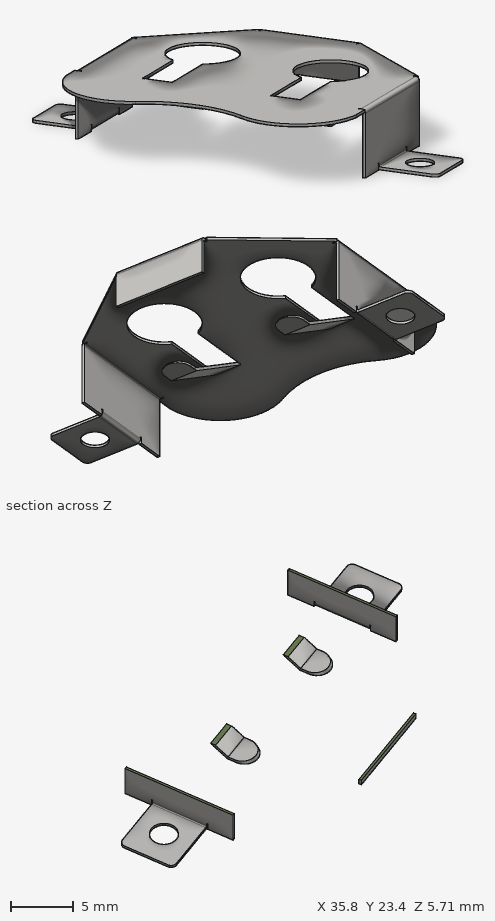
import cadquery as cq
import math


sheet = 0.25
inner_bend = 0.10
outer_bend = inner_bend + sheet
total_length = 35.8
total_width = 23.35
total_height = 5.71
plate_underside = total_height - sheet
overlap = 0.02

plate_half_width = 12.75
rear_y = 11.8
front_y = rear_y - total_width
lobe_radius = 5.45
lobe_x = 7.33
lobe_y = front_y + lobe_radius
valley_y = -9.65

wall_half_length = 5.0
lip_half_width = 4.25
lip_height = 3.35
slit = 0.10
slit_past_bend = 0.20
side_bend_x = plate_half_width - outer_bend
rear_bend_y = rear_y - outer_bend
chamfer_side_x = 12.62
chamfer_rear_x = 4.5

foot_half_width = 2.5
foot_y = 0.05
foot_corner_radius = 0.5
foot_hole_diameter = 2.3
foot_hole_from_end = 2.75
foot_relief_height = outer_bend + slit_past_bend

keyhole_x = 5.63
keyhole_y = 3.55
keyhole_radius = 3.0
slot_width = 2.6
slot_front_y = -4.8
tongue_width = 2.5
tongue_drop = 3.55
tongue_bend_y = 1.05
tongue_tip_y = 2.86
tip_end_slant = 0.20


def plate():
    """Flat plate with twin front lobes, rear chamfers and bend relief slits."""
    lobe_start_y = lobe_y - math.sqrt(lobe_radius**2 - (plate_half_width - lobe_x) ** 2)

    valley_depth = lobe_y - valley_y
    valley_radius = (lobe_x**2 + valley_depth**2 - lobe_radius**2) / (2 * (lobe_radius - valley_depth))
    valley_center_y = valley_y - valley_radius
    blend = lobe_radius / (lobe_radius + valley_radius)
    blend_x = lobe_x * (1 - blend)
    blend_y = lobe_y + (valley_center_y - lobe_y) * blend

    slit_x = side_bend_x - slit_past_bend
    slit_y = rear_bend_y - slit_past_bend
    slit_end = wall_half_length + slit
    lip_slit_x = lip_half_width + slit
    right_edge = [
        (plate_half_width, -slit_end),
        (slit_x, -slit_end),
        (slit_x, -wall_half_length),
        (side_bend_x, -wall_half_length),
        (side_bend_x, wall_half_length),
        (slit_x, wall_half_length),
        (slit_x, slit_end),
        (chamfer_side_x, slit_end),
        (chamfer_rear_x, rear_bend_y),
        (lip_slit_x, rear_bend_y),
        (lip_slit_x, slit_y),
        (lip_half_width, slit_y),
        (lip_half_width, rear_bend_y),
    ]
    left_edge = [(-x, y) for x, y in reversed(right_edge)]
    return (
        cq.Workplane("XY", origin=(0, 0, plate_underside))
        .moveTo(-blend_x, blend_y)
        .threePointArc((0, valley_y), (blend_x, blend_y))
        .threePointArc((lobe_x, front_y), (plate_half_width, lobe_start_y))
        .polyline(right_edge + left_edge, includeCurrent=True)
        .lineTo(-plate_half_width, lobe_start_y)
        .threePointArc((-lobe_x, front_y), (-blend_x, blend_y))
        .close()
        .extrude(sheet)
    )


def keyholes():
    """Cutters for the two round openings and the slots running forward from them."""
    centers = [(-keyhole_x, keyhole_y), (keyhole_x, keyhole_y)]
    slot_length = keyhole_y - slot_front_y
    slot_centers = [(x, y - slot_length / 2) for x, y in centers]
    base = cq.Workplane("XY", origin=(0, 0, plate_underside))
    rounds = base.pushPoints(centers).circle(keyhole_radius).extrude(sheet)
    slots = base.pushPoints(slot_centers).rect(slot_width, slot_length).extrude(sheet)
    return rounds.union(slots)


def flange(plane, outer, bottom, half_length):
    """Sheet turned down from the plate; its outer face stands at `outer` along the plane's local x."""
    start = outer - outer_bend
    return (
        cq.Workplane(plane)
        .moveTo(start - overlap, total_height)
        .lineTo(start, total_height)
        .radiusArc((outer, total_height - outer_bend), outer_bend)
        .lineTo(outer, bottom)
        .lineTo(outer - sheet, bottom)
        .lineTo(outer - sheet, total_height - outer_bend)
        .radiusArc((start, plate_underside), -inner_bend)
        .lineTo(start - overlap, plate_underside)
        .close()
        .extrude(half_length, both=True)
    )


def foot():
    """Right-hand solder foot with its bend, up to the top of the wall relief."""
    end_x = total_length / 2
    inner_x = plate_half_width - sheet
    bend_end_x = plate_half_width + inner_bend
    top_z = foot_relief_height + overlap
    body = (
        cq.Workplane("XZ", origin=(0, foot_y, 0))
        .moveTo(inner_x, top_z)
        .lineTo(plate_half_width, top_z)
        .lineTo(plate_half_width, outer_bend)
        .radiusArc((bend_end_x, sheet), -inner_bend)
        .lineTo(end_x, sheet)
        .lineTo(end_x, 0)
        .lineTo(bend_end_x, 0)
        .radiusArc((inner_x, outer_bend), outer_bend)
        .close()
        .extrude(foot_half_width, both=True)
        .faces(">X")
        .edges("|Z")
        .fillet(foot_corner_radius)
    )
    hole = (
        cq.Workplane("XY")
        .center(end_x - foot_hole_from_end, foot_y)
        .circle(foot_hole_diameter / 2)
        .extrude(sheet)
    )
    return body.cut(hole)


def side_wall():
    """Right-hand wall with a solder foot turned outward between two relief cuts."""
    wall = flange("XZ", plate_half_width, 0, wall_half_length)
    relief_depth = 4 * sheet
    relief_width = 2 * (foot_half_width + slit)
    relief = cq.Workplane("XY").box(
        relief_depth, relief_width, foot_relief_height, centered=(True, True, False)
    )
    return wall.cut(relief.translate((plate_half_width, foot_y, 0))).union(foot())


def tongue(center_x):
    """Contact tongue sloping down and rearward from the slot end to a level, rounded tip."""
    tip_top = total_height - tongue_drop
    tip_bottom = tip_top - sheet
    tip_reach = tongue_tip_y + tip_end_slant
    slope_angle = math.atan2(tongue_drop, tongue_bend_y - slot_front_y)
    half = tongue_width / 2
    fold_shift = sheet * math.tan(slope_angle / 2)
    strip = (
        cq.Workplane("YZ", origin=(center_x, 0, 0))
        .polyline(
            [
                (slot_front_y - 2 * fold_shift, total_height),
                (slot_front_y, total_height),
                (tongue_bend_y, tip_top),
                (tip_reach, tip_top),
                (tip_reach, tip_bottom),
                (tongue_bend_y - fold_shift, tip_bottom),
                (slot_front_y - fold_shift, plate_underside),
                (slot_front_y - 2 * fold_shift, plate_underside),
            ]
        )
        .close()
        .extrude(half, both=True)
    )
    round_start_y = tongue_tip_y - half
    tip_window = (
        cq.Workplane("XY", origin=(center_x, 0, tip_top))
        .moveTo(-half, round_start_y)
        .threePointArc((0, tongue_tip_y), (half, round_start_y))
        .lineTo(half, tip_reach)
        .lineTo(-half, tip_reach)
        .close()
        .wire()
        .val()
    )
    trim = cq.Solid.extrudeLinear(tip_window, [], cq.Vector(0, tip_end_slant, -sheet))
    return strip.cut(cq.Workplane(obj=trim))


right_wall = side_wall()
rear_lip = flange("YZ", rear_y, total_height - lip_height, lip_half_width)

result = plate().cut(keyholes())
result = result.union(right_wall).union(right_wall.mirror("YZ")).union(rear_lip)
for tongue_x in (-keyhole_x, keyhole_x):
    result = result.union(tongue(tongue_x))